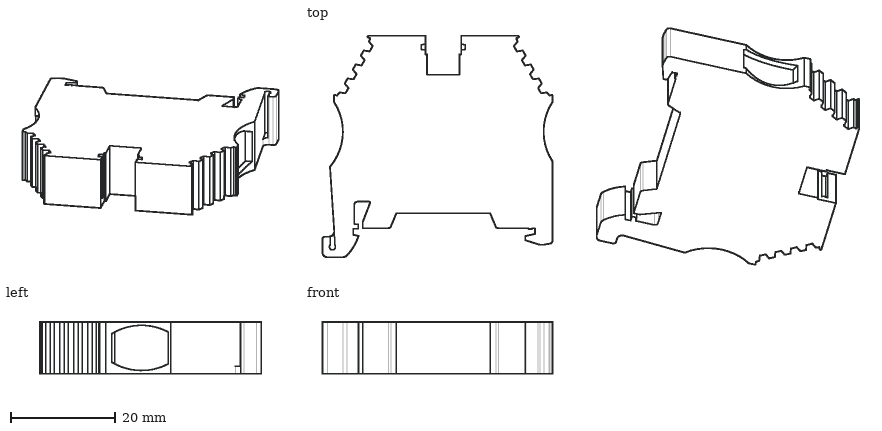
import cadquery as cq
import math


thickness = 10.0
height = 42.5
half_width = 21.0
clip_left = -23.2
web_thickness = 1.45

slot_half_width = 3.4
slot_lower_half_width = 3.1
slot_step_y = 38.9
slot_floor_y = 35.05

lip_x = 14.55
lip_chamfer = 0.18
lip_height = 0.55
lip_overhang = 0.55

notch_top_y = 40.9
notch_height = 1.15
notch_depth = 0.85
notch_taper = 0.15

shoulder_angle = math.radians(60)
first_crest = (14.28, 41.35)
groove_count = 4
groove_pitch = 3.1
groove_floor = 1.15
groove_depth = 1.05
groove_flank_run = 0.4
nick_y = 31.05
nick_width = 0.6
corner_chamfer = 0.18

grip_y = 24.1
grip_half_height = 5.75
grip_apex_x = 19.25
grip_sag = half_width - grip_apex_x
grip_radius = (grip_half_height**2 + grip_sag**2) / (2 * grip_sag)
grip_center_x = grip_apex_x + grip_radius

pocket_depth = 1.05
pocket_top_y = 28.7
pocket_bottom_y = 17.85
pocket_wall_drop = 0.55
lens_y = 23.0
lens_height = 8.65
lens_radius = 10.9

seat_y = 5.55
rail_y = 8.45
rail_half_width = 8.97
seat_inner_x = 10.15
seat_left_x = -15.45

pip_x = 16.7
pip_base_width = 0.8
pip_tip_width = 0.6
pip_height = 0.18

foot_corner_y = 2.7
foot_bottom_y = 2.4
foot_bottom_left_x = 18.48
foot_bottom_right_x = 19.25
foot_heel = (20.25, 2.55)
foot_sole = (18.15, 2.48)
foot_tip_x = 15.7
foot_tip_low_y = 3.25
foot_tip_high_y = 4.05
foot_root = (17.6, 4.5)

gap_left_x = -17.05
gap_right_x = -13.95
gap_top_y = 10.65
gap_bend_y = 6.75

clip_lip_x = -16.25
clip_lip_top_y = 6.35
clip_groove_x = -17.25
clip_groove_top_y = 5.45
clip_groove_bottom_y = 4.35
clip_tip = (-16.2, 4.1)
lead_in_mid = (-17.25, 1.9)
lead_in_end_x = -18.85

leg_top_x = -21.75
leg_bottom_x = -20.8
leg_bottom_y = 3.23
hook_y = 4.0
slit_left_x = -21.65
slit_end = (-21.25, 2.0)
slit_end_radius = 0.57
slit_top_y = 5.3

small_radius = 0.18
foot_heel_radius = 0.7
seat_radius = 0.55
gap_radius = 0.6
lead_in_radius = 1.15
hook_bottom_radius = 0.97
hook_top_radius = 0.57
hook_root_radius = 0.97

RIGHT = 1
LEFT = -1


def arc_x(y, radius):
    """Half-width at height y of an arc concentric with the right grip."""
    return grip_center_x - math.sqrt(radius**2 - (y - grip_y) ** 2)


def grip_offset(x):
    """Distance along Y from the grip centre to the grip arc at half-width x."""
    return math.sqrt(grip_radius**2 - (grip_center_x - x) ** 2)


leg_top_y = grip_y - grip_offset(-leg_top_x)


def leg_x(y):
    """X of the sloping outer face of the clip leg at height y."""
    slope = (leg_top_x - leg_bottom_x) / (leg_top_y - leg_bottom_y)
    return leg_bottom_x + slope * (y - leg_bottom_y)


def groove_points(index):
    """Crest, two floor corners and next crest of one groove on the right shoulder."""
    along = (math.cos(shoulder_angle), -math.sin(shoulder_angle))
    inward = (-math.sin(shoulder_angle), -math.cos(shoulder_angle))
    stations = [
        (0, 0),
        (groove_flank_run, groove_depth),
        (groove_flank_run + groove_floor, groove_depth),
        (2 * groove_flank_run + groove_floor, 0),
    ]
    points = []
    for run, depth in stations:
        distance = index * groove_pitch + run
        x = first_crest[0] + distance * along[0] + depth * inward[0]
        y = first_crest[1] + distance * along[1] + depth * inward[1]
        points.append((x, y))
    return points


def shoulder_points():
    """Right half of the upper outline, from the slot floor out to the grip."""
    points = [
        (slot_lower_half_width, slot_floor_y),
        (slot_lower_half_width, slot_step_y),
        (slot_half_width, slot_step_y),
        (slot_half_width, height),
        (lip_x - lip_chamfer, height),
        (lip_x, height - lip_chamfer),
        (lip_x - lip_chamfer, height - lip_height + lip_chamfer / 2),
        (lip_x - lip_overhang, height - lip_height),
    ]
    for index in range(groove_count):
        points += groove_points(index)
    points += [
        (half_width - nick_width, nick_y),
        (half_width - corner_chamfer, nick_y + corner_chamfer),
        (half_width, nick_y),
        (half_width, grip_y + grip_half_height),
    ]
    return points


def rail_points():
    """Lower outline from the right foot across the rail seat to the clip toe."""
    right_foot = [
        (half_width, foot_corner_y),
        foot_heel,
        (foot_bottom_right_x, foot_bottom_y),
        (foot_bottom_left_x, foot_bottom_y),
        foot_sole,
        (foot_tip_x, foot_tip_low_y),
        (foot_tip_x, foot_tip_high_y),
        foot_root,
        (foot_root[0], seat_y),
    ]
    pip = [
        (pip_x + pip_base_width / 2, seat_y),
        (pip_x + pip_tip_width / 2, seat_y - pip_height),
        (pip_x - pip_tip_width / 2, seat_y - pip_height),
        (pip_x - pip_base_width / 2, seat_y),
    ]
    raised_face = [
        (seat_inner_x, seat_y),
        (rail_half_width, rail_y),
        (-rail_half_width, rail_y),
        (-seat_inner_x, seat_y),
    ]
    flex_gap = [
        (seat_left_x, seat_y),
        (seat_left_x, gap_bend_y),
        (gap_right_x, gap_top_y),
        (gap_left_x, gap_top_y),
        (gap_left_x, clip_lip_top_y),
    ]
    clip_groove = [
        (clip_lip_x, clip_lip_top_y),
        (clip_lip_x, clip_groove_top_y),
        (clip_groove_x, clip_groove_top_y),
        (clip_groove_x, clip_groove_bottom_y),
        clip_tip,
    ]
    return right_foot + pip + raised_face + flex_gap + clip_groove


def mirrored(points):
    return [(-x, y) for x, y in points]


def draw_lines(outline, points):
    for point in points:
        outline = outline.lineTo(*point)
    return outline


def make_housing():
    shoulder = shoulder_points()
    outline = cq.Workplane("XY").moveTo(*shoulder[0])
    outline = draw_lines(outline, shoulder[1:])
    outline = outline.threePointArc(
        (grip_apex_x, grip_y), (half_width, grip_y - grip_half_height)
    )
    outline = draw_lines(outline, rail_points())
    outline = outline.threePointArc(lead_in_mid, (lead_in_end_x, 0))
    outline = draw_lines(
        outline,
        [
            (clip_left, 0),
            (clip_left, hook_y),
            (leg_x(hook_y), hook_y),
            (leg_top_x, leg_top_y),
        ],
    )
    outline = outline.threePointArc(
        (-grip_apex_x, grip_y), (-half_width, grip_y + grip_half_height)
    )
    outline = draw_lines(outline, mirrored(shoulder[:-1])[::-1])
    return outline.close().extrude(thickness)


def round_corners(body):
    """Round the edges along Z that stand at the listed outline corners."""
    rounded = [
        ((half_width, foot_corner_y), foot_heel_radius),
        ((foot_tip_x, foot_tip_high_y), small_radius),
        ((foot_tip_x, foot_tip_low_y), small_radius),
        ((seat_inner_x, seat_y), seat_radius),
        ((-seat_inner_x, seat_y), seat_radius),
        ((gap_right_x, gap_top_y), small_radius),
        ((gap_left_x, gap_top_y), gap_radius),
        ((gap_left_x, clip_lip_top_y), small_radius),
        ((lead_in_end_x, 0), lead_in_radius),
        ((clip_left, 0), hook_bottom_radius),
        ((clip_left, hook_y), hook_top_radius),
        ((leg_x(hook_y), hook_y), hook_root_radius),
    ]
    for (x, y), radius in rounded:
        corner = cq.selectors.NearestToPointSelector((x, y, thickness / 2))
        body = body.edges("|Z").edges(corner).fillet(radius)
    return body


def make_slit():
    """Relief slit between hook and leg, open at the top and closed by the web."""
    corners = [
        (slit_left_x, slit_end[1]),
        (leg_x(slit_end[1]), slit_end[1]),
        (leg_x(slit_top_y), slit_top_y),
        (slit_left_x, slit_top_y),
    ]
    above_web = cq.Workplane("XY").workplane(offset=web_thickness)
    channel = above_web.polyline(corners).close().extrude(thickness)
    end = above_web.center(*slit_end).circle(slit_end_radius).extrude(thickness)
    return channel.union(end)


def make_notch(side):
    """Marker notch in one slot wall, tapering towards its back face."""
    back_x = slot_half_width + notch_depth
    bottom_y = notch_top_y - notch_height
    corners = [
        (0, notch_top_y),
        (slot_half_width, notch_top_y),
        (back_x, notch_top_y - notch_taper),
        (back_x, bottom_y + notch_taper),
        (slot_half_width, bottom_y),
        (0, bottom_y),
    ]
    return (
        cq.Workplane("XY", origin=(0, 0, web_thickness))
        .polyline([(side * x, y) for x, y in corners])
        .close()
        .extrude(thickness)
    )


def make_pocket(side):
    """Pocket in one grip: floor concentric with the grip, lens-shaped mouth."""
    floor_radius = grip_radius + pocket_depth
    mouth_x = arc_x(pocket_top_y, grip_radius)
    wall_foot_y = pocket_top_y - pocket_wall_drop
    section = (
        cq.Workplane("XY")
        .moveTo(side * grip_center_x, pocket_top_y)
        .lineTo(side * mouth_x, pocket_top_y)
        .lineTo(side * arc_x(wall_foot_y, floor_radius), wall_foot_y)
        .threePointArc(
            (side * arc_x(grip_y, floor_radius), grip_y),
            (side * arc_x(pocket_bottom_y, floor_radius), pocket_bottom_y),
        )
        .lineTo(side * grip_center_x, pocket_bottom_y)
        .close()
        .extrude(thickness)
    )
    offset = lens_radius - lens_height / 2
    for center_z in (thickness / 2 - offset, thickness / 2 + offset):
        cylinder = (
            cq.Workplane("YZ", origin=(0, lens_y, center_z))
            .circle(lens_radius)
            .extrude(side * grip_center_x)
        )
        section = section.intersect(cylinder)
    return section


housing = round_corners(make_housing()).cut(make_slit())
for side in (LEFT, RIGHT):
    housing = housing.cut(make_notch(side))
    housing = housing.cut(make_pocket(side))

result = housing